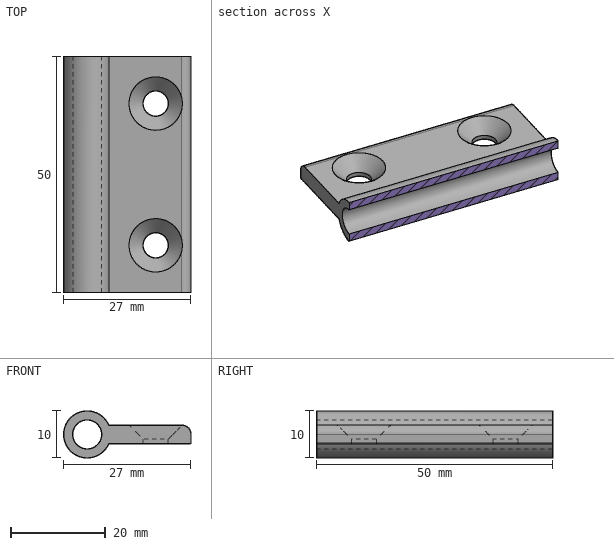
import cadquery as cq
import math

length = 50.0
barrel_diameter = 10.0
pin_diameter = 6.1
leaf_reach = 22.0
leaf_thickness = 4.0
leaf_top = leaf_thickness / 2
leaf_bottom = -leaf_thickness / 2
top_edge_radius = 2.0
bottom_edge_radius = 0.3

screw_x = 14.5
screw_spacing = 30.0
screw_diameter = 5.3
countersink_diameter = 11.3
countersink_angle = 90.0
countersink_step = (countersink_diameter - screw_diameter) / 2
countersink_depth = countersink_step / math.tan(math.radians(countersink_angle / 2))


def make_barrel():
    """Knuckle cylinder, centred on the origin along Y."""
    return cq.Workplane("XZ").circle(barrel_diameter / 2).extrude(length / 2, both=True)


def make_leaf():
    """Flat plate from the barrel axis to the free edge, with both long free edges rounded."""
    leaf = (
        cq.Workplane("XY")
        .workplane(offset=leaf_bottom)
        .center(leaf_reach / 2, 0)
        .rect(leaf_reach, length)
        .extrude(leaf_thickness)
    )
    leaf = leaf.edges("|Y and >X and >Z").fillet(top_edge_radius)
    return leaf.edges("|Y and >X and <Z").fillet(bottom_edge_radius)


def cut_pin_bore(body):
    """Bore for the hinge pin, through the full length of the barrel."""
    bore = cq.Workplane("XZ").circle(pin_diameter / 2).extrude(length / 2, both=True)
    return body.cut(bore)


def cut_screw_holes(body):
    """Two through holes, countersunk from the top face of the leaf."""
    for screw_y in (-screw_spacing / 2, screw_spacing / 2):
        screw_hole = (
            cq.Workplane("XY", origin=(screw_x, screw_y, leaf_bottom))
            .circle(screw_diameter / 2)
            .extrude(leaf_thickness)
        )
        countersink = (
            cq.Workplane("XY", origin=(screw_x, screw_y, leaf_top))
            .circle(countersink_diameter / 2)
            .extrude(-countersink_depth, taper=countersink_angle / 2)
        )
        body = body.cut(screw_hole).cut(countersink)
    return body


hinge_half = make_barrel().union(make_leaf())
hinge_half = cut_pin_bore(hinge_half)
result = cut_screw_holes(hinge_half)